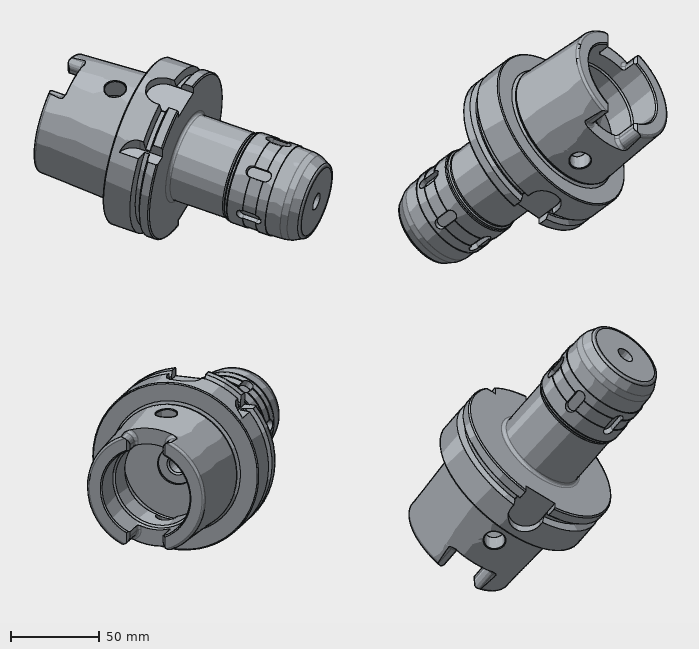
import cadquery as cq
import math


total_length = 160.5
taper_end_x = 47.8
taper_small_radius = 35.5
taper_large_radius = 37.9
taper_lip_fillet = 1.5
relief_start_x = 48.6
relief_radius = 37.0
flange_start_x = 50.0
flange_end_x = 79.0
flange_radius = 100.0 / 2
flange_front_chamfer = 0.6
flange_back_chamfer = 0.8
relief_flare_start_x = 49.3
relief_flare_radius = 39.2
groove_start_x = 67.1
groove_floor_start_x = 68.4
groove_floor_end_x = 71.5
groove_end_x = 73.0
groove_radius = 45.6
groove_step_radius = 46.9
neck_radius = 51.0 / 2
neck_fillet = 2.0

pilot_radius = 53.0 / 2
pilot_mouth_chamfer = 0.8
pilot_depth = 18.8
throat_start_x = 19.6
throat_radius = 50.4 / 2
throat_end_x = 35.3
clamp_radius = 63.0 / 2
clamp_cone_angle = 30.0
bore_floor_x = 51.4
floor_recess_radius = 22.3 / 2
floor_recess_depth = 1.6
coolant_radius = 10.0 / 2
coolant_mouth_radius = 12.0 / 2
cross_hole_x = 34.8
cross_hole_diameter = 12.0
cross_hole_chamfer = 0.5

drive_slot_half_width = 10.0
drive_slot_arc_start_z = 27.5
drive_slot_arc_radius = 4.7
drive_slot_root_fillet = 2.0
drive_slot_mouth_chamfer = 1.6
upper_drive_slot_depth = 10.0
lower_drive_slot_depth = 15.1
keyway_width = 20.0
keyway_end_x = 54.9
keyway_floor_z = 44.0
corner_notch_wall_y = -31.5
corner_notch_floor_z = 31.8

nut_start_x = 113.6
nut_lip_end_x = 114.6
nut_collar_start_x = 115.4
nut_collar_end_x = 116.5
nut_body_start_x = 117.2
nut_body_end_x = 140.9
nut_radius = 54.0 / 2
nut_band_radius = 53.0 / 2
nut_band_start_x = 126.6
nut_band_end_x = 134.7
nut_nose_start_x = 149.9
nut_nose_start_radius = 26.2
nut_cone_start_x = 153.9
nut_cone_start_radius = 25.4
nut_face_radius = 21.3
nut_face_fillet = 1.3
nut_bore_radius = 41.0 / 2
spanner_slot_count = 6
spanner_slot_length = 15.2
spanner_slot_width = 6.6
spanner_slot_depth = 3.7

overrun = 8.0


def revolve_about_x(profile):
    """Turn an outline drawn in the XY plane, Y being the radius, about X."""
    return profile.revolve(360, (0, 0, 0), (1, 0, 0))


def make_holder_blank():
    """Solid turned shape of the holder."""
    profile = (
        cq.Workplane("XY")
        .lineTo(0, taper_small_radius - taper_lip_fillet)
        .radiusArc((taper_lip_fillet, taper_small_radius), taper_lip_fillet)
        .lineTo(taper_end_x, taper_large_radius)
        .lineTo(relief_start_x, relief_radius)
        .lineTo(relief_flare_start_x, relief_radius)
        .lineTo(flange_start_x, relief_flare_radius)
        .lineTo(flange_start_x, flange_radius - flange_front_chamfer)
        .lineTo(flange_start_x + flange_front_chamfer, flange_radius)
        .lineTo(groove_start_x, flange_radius)
        .lineTo(groove_floor_start_x, groove_radius)
        .lineTo(groove_floor_end_x, groove_radius)
        .lineTo(groove_floor_end_x, groove_step_radius)
        .lineTo(groove_end_x, flange_radius)
        .lineTo(flange_end_x - flange_back_chamfer, flange_radius)
        .lineTo(flange_end_x, flange_radius - flange_back_chamfer)
        .lineTo(flange_end_x, neck_radius + neck_fillet)
        .radiusArc((flange_end_x + neck_fillet, neck_radius), -neck_fillet)
        .lineTo(nut_start_x, neck_radius)
        .lineTo(nut_start_x, nut_bore_radius)
        .lineTo(total_length, nut_bore_radius)
        .lineTo(total_length, 0)
        .close()
    )
    return revolve_about_x(profile)


def make_bore_cutter():
    """Stepped bore from the open end, and the coolant hole through the rest."""
    recess_floor_x = bore_floor_x + floor_recess_depth
    clamp_cone_length = (clamp_radius - throat_radius) / math.tan(math.radians(clamp_cone_angle))
    clamp_start_x = throat_end_x + clamp_cone_length
    coolant_chamfer = coolant_mouth_radius - coolant_radius
    profile = (
        cq.Workplane("XY")
        .lineTo(0, pilot_radius + pilot_mouth_chamfer)
        .lineTo(pilot_mouth_chamfer, pilot_radius)
        .lineTo(pilot_depth, pilot_radius)
        .lineTo(throat_start_x, throat_radius)
        .lineTo(throat_end_x, throat_radius)
        .lineTo(clamp_start_x, clamp_radius)
        .lineTo(bore_floor_x, clamp_radius)
        .lineTo(bore_floor_x, floor_recess_radius)
        .lineTo(recess_floor_x, floor_recess_radius)
        .lineTo(recess_floor_x, coolant_mouth_radius)
        .lineTo(recess_floor_x + coolant_chamfer, coolant_radius)
        .lineTo(total_length, coolant_radius)
        .lineTo(total_length, 0)
        .close()
    )
    return revolve_about_x(profile)


def cut_cross_hole(holder):
    """Radial hole through both walls of the taper, chamfered outside."""
    drill = (
        cq.Workplane("XY")
        .center(cross_hole_x, 0)
        .circle(cross_hole_diameter / 2)
        .extrude(taper_large_radius + overrun, both=True)
    )
    half_box = cross_hole_diameter / 2 + cross_hole_chamfer
    holder = holder.cut(drill)
    for side in (1, -1):
        low, high = sorted((side * clamp_radius, side * taper_large_radius))
        rim = cq.selectors.BoxSelector(
            (cross_hole_x - half_box, -half_box, low),
            (cross_hole_x + half_box, half_box, high),
        )
        holder = holder.edges(rim).chamfer(cross_hole_chamfer)
    return holder


def make_drive_slot_cutter(depth):
    """Cutter for a drive slot in the +Z wall of the open end."""
    shoulder_y = drive_slot_half_width + drive_slot_arc_radius
    shoulder_z = drive_slot_arc_start_z + drive_slot_arc_radius
    outside = taper_large_radius + overrun
    slot = (
        cq.Workplane("YZ")
        .workplane(offset=-overrun)
        .moveTo(-drive_slot_half_width, 0)
        .lineTo(-drive_slot_half_width, drive_slot_arc_start_z)
        .radiusArc((-shoulder_y, shoulder_z), -drive_slot_arc_radius)
        .lineTo(-outside, shoulder_z)
        .lineTo(-outside, outside)
        .lineTo(outside, outside)
        .lineTo(outside, shoulder_z)
        .lineTo(shoulder_y, shoulder_z)
        .radiusArc((drive_slot_half_width, drive_slot_arc_start_z), -drive_slot_arc_radius)
        .lineTo(drive_slot_half_width, 0)
        .close()
        .extrude(depth + overrun)
    )
    root = cq.selectors.BoxSelector(
        (depth - 0.2, -shoulder_y - 1.6, 0.2), (depth + 0.2, shoulder_y + 1.6, shoulder_z + 0.2)
    )
    slot = slot.edges(root).fillet(drive_slot_root_fillet)
    mouth_half_width = drive_slot_half_width + drive_slot_mouth_chamfer
    mouth = (
        cq.Workplane("XY")
        .moveTo(0, -mouth_half_width)
        .lineTo(drive_slot_mouth_chamfer, -drive_slot_half_width)
        .lineTo(drive_slot_mouth_chamfer, drive_slot_half_width)
        .lineTo(0, mouth_half_width)
        .close()
        .extrude(shoulder_z)
    )
    return slot.union(mouth)


def make_rounded_end_cutter(end_x, center_y, floor_z):
    """Keyway cutter open towards +X and +Z with a half-round end at end_x."""
    end_radius = keyway_width / 2
    length = flange_end_x + overrun - end_x - end_radius
    arc_center_x = end_x + end_radius
    round_end = cq.Workplane("XY").center(arc_center_x, center_y).circle(end_radius)
    straight = (
        cq.Workplane("XY")
        .center(arc_center_x + length / 2, center_y)
        .rect(length, keyway_width)
    )
    height = flange_radius + overrun - floor_z
    cutter = round_end.extrude(height).union(straight.extrude(height))
    return cutter.translate((0, 0, floor_z))


def make_holder():
    """Tool holder: hollow taper, grooved flange, neck and nose."""
    holder = cut_cross_hole(make_holder_blank().cut(make_bore_cutter()))

    upper_slot = make_drive_slot_cutter(upper_drive_slot_depth)
    lower_slot = make_drive_slot_cutter(lower_drive_slot_depth).mirror("XY")
    holder = holder.cut(upper_slot).cut(lower_slot)

    keyway = make_rounded_end_cutter(keyway_end_x, 0, keyway_floor_z)
    holder = holder.cut(keyway).cut(keyway.mirror("XY"))

    notch_center_y = corner_notch_wall_y - keyway_width / 2
    notch = make_rounded_end_cutter(keyway_end_x, notch_center_y, corner_notch_floor_z)
    return holder.cut(notch)


def make_spanner_slot_cutter():
    """Flat-floored slot along X in the -Y side of the nut."""
    return (
        cq.Workplane("XZ")
        .workplane(offset=nut_radius - spanner_slot_depth)
        .center((nut_band_start_x + nut_band_end_x) / 2, 0)
        .slot2D(spanner_slot_length, spanner_slot_width)
        .extrude(overrun)
    )


def make_nut():
    """Clamping nut around the nose of the holder."""
    fillet_start_x = total_length - nut_face_fillet
    profile = (
        cq.Workplane("XY")
        .moveTo(nut_start_x, nut_bore_radius)
        .lineTo(nut_start_x, neck_radius)
        .lineTo(nut_lip_end_x, neck_radius)
        .lineTo(nut_collar_start_x, nut_band_radius)
        .lineTo(nut_collar_end_x, nut_band_radius)
        .lineTo(nut_body_start_x, nut_radius)
        .lineTo(nut_band_start_x, nut_radius)
        .lineTo(nut_band_start_x, nut_band_radius)
        .lineTo(nut_band_end_x, nut_band_radius)
        .lineTo(nut_band_end_x, nut_radius)
        .lineTo(nut_body_end_x, nut_radius)
        .lineTo(nut_body_end_x, nut_band_radius)
        .lineTo(nut_nose_start_x, nut_nose_start_radius)
        .lineTo(nut_cone_start_x, nut_cone_start_radius)
        .lineTo(fillet_start_x, nut_face_radius + nut_face_fillet)
        .radiusArc((total_length, nut_face_radius), nut_face_fillet)
        .lineTo(total_length, nut_bore_radius)
        .close()
    )
    nut = revolve_about_x(profile)
    slot = make_spanner_slot_cutter()
    for index in range(spanner_slot_count):
        angle = index * 360 / spanner_slot_count
        nut = nut.cut(slot.rotate((0, 0, 0), (1, 0, 0), angle))
    return nut


holder = make_holder()
nut = make_nut()

result = cq.Compound.makeCompound([holder.val(), nut.val()])